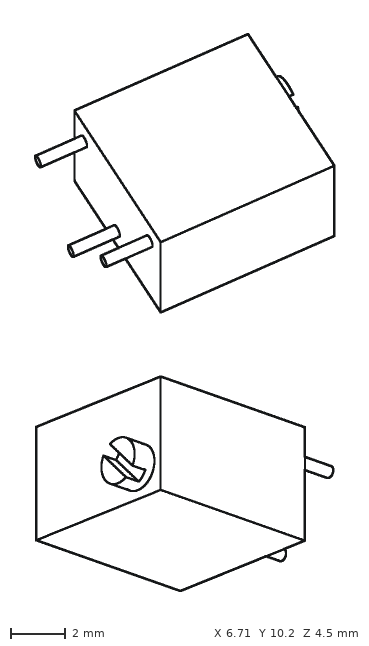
import cadquery as cq

body_width = 6.71
body_height = 4.5
screw_length = 1.0
pin_length = 1.92
overall_length = 10.16
body_length = overall_length - screw_length - pin_length

pin_diameter = 0.47
pin_pitch = 2.54
first_pin_from_side = 0.76
upper_row_from_top = 1.02

screw_diameter = 1.79
screw_from_side = 1.23
screw_from_bottom = 1.25
slot_width = 0.5
slot_depth = 0.64
slot_angle = 45.0

left_side = -body_width / 2
top_side = body_height / 2
bottom_side = -body_height / 2


def make_body():
    return cq.Workplane("XY").box(body_width, body_length, body_height, centered=(True, False, True))


def make_pins():
    first_x = left_side + first_pin_from_side
    upper_z = top_side - upper_row_from_top
    centres = [
        (first_x, upper_z),
        (first_x + pin_pitch, upper_z - pin_pitch),
        (first_x + 2 * pin_pitch, upper_z),
    ]
    return cq.Workplane("XZ").pushPoints(centres).circle(pin_diameter / 2).extrude(pin_length)


def make_screw():
    head = cq.Workplane("XZ").circle(screw_diameter / 2).extrude(screw_length)
    slot = (
        cq.Workplane("XZ")
        .rect(2 * screw_diameter, slot_width)
        .extrude(slot_depth)
        .rotate((0, 0, 0), (0, 1, 0), -slot_angle)
    )
    screw_x = left_side + screw_from_side
    screw_z = bottom_side + screw_from_bottom
    return head.cut(slot).translate((screw_x, body_length + screw_length, screw_z))


result = make_body().union(make_pins()).union(make_screw())